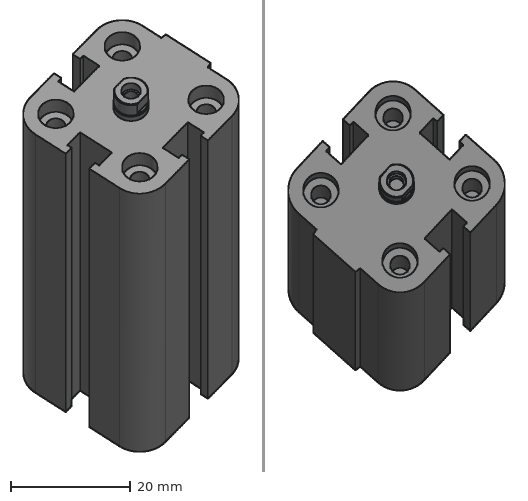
import cadquery as cq
import math

TOTAL_HEIGHT = 77.5
ROD_HEIGHT = 4.5
HOUSING_HEIGHT = TOTAL_HEIGHT - ROD_HEIGHT

HOUSING_WIDTH = 29.0
HALF_WIDTH = HOUSING_WIDTH / 2
CORNER_RADIUS = 5.5

RIB_HEIGHT = 1.0
RIB_BASE_WIDTH = 9.9
RIB_CREST_WIDTH = 9.6

SLOT_FLOOR_SPAN = 19.0
SLOT_LIP_SPAN = 25.8
SLOT_MOUTH_WIDTH = 5.0
SLOT_INNER_WIDTH = 6.8
SLOT_DIRECTIONS = (180, 270, 0)

HOLE_OFFSET = HALF_WIDTH - CORNER_RADIUS
HOLE_DIAMETER = 3.25
HOLE_DEPTH = 12.5
COUNTERBORE_DIAMETER = 6.0
COUNTERBORE_DEPTH = 3.5

COLLAR_DIAMETER = 6.0
COLLAR_HEIGHT = 1.25
COLLAR_BEVEL_HEIGHT = 0.2
NECK_DIAMETER = 5.8
NECK_CHAMFER = 0.15
FLATS_WIDTH = 5.0
FLATS_HEIGHT = 2.6
FLATS_RUNOUT_ANGLE = 30
BORE_DIAMETER = 2.5
BORE_DEPTH = 3.9
BORE_MOUTH_DIAMETER = 3.25
BORE_MOUTH_DEPTH = 1.8


def make_rib():
    """Full-height tapered rib standing on the +Y face of the housing."""
    return (
        cq.Workplane("XY")
        .polyline([
            (-RIB_BASE_WIDTH / 2, HALF_WIDTH),
            (-RIB_CREST_WIDTH / 2, HALF_WIDTH + RIB_HEIGHT),
            (RIB_CREST_WIDTH / 2, HALF_WIDTH + RIB_HEIGHT),
            (RIB_BASE_WIDTH / 2, HALF_WIDTH),
        ])
        .close()
        .extrude(HOUSING_HEIGHT)
    )


def make_slot_cutter(direction):
    """T-slot running the full height, opening towards the given direction."""
    floor = SLOT_FLOOR_SPAN / 2
    slot_depth = HALF_WIDTH - floor
    inner_depth = SLOT_LIP_SPAN / 2 - floor
    centred_in_y_only = (False, True, False)
    mouth = cq.Workplane("XY").box(slot_depth, SLOT_MOUTH_WIDTH, HOUSING_HEIGHT, centered=centred_in_y_only)
    inner = cq.Workplane("XY").box(inner_depth, SLOT_INNER_WIDTH, HOUSING_HEIGHT, centered=centred_in_y_only)
    return mouth.union(inner).translate((floor, 0, 0)).rotate((0, 0, 0), (0, 0, 1), direction)


def make_housing():
    """Slotted profile with a counterbored blind hole in each top corner."""
    housing = (
        cq.Workplane("XY")
        .rect(HOUSING_WIDTH, HOUSING_WIDTH)
        .extrude(HOUSING_HEIGHT)
        .edges("|Z")
        .fillet(CORNER_RADIUS)
        .union(make_rib())
    )
    for direction in SLOT_DIRECTIONS:
        housing = housing.cut(make_slot_cutter(direction))
    return (
        housing.faces(">Z")
        .workplane(origin=(0, 0, HOUSING_HEIGHT))
        .rect(2 * HOLE_OFFSET, 2 * HOLE_OFFSET, forConstruction=True)
        .vertices()
        .cboreHole(HOLE_DIAMETER, COUNTERBORE_DIAMETER, COUNTERBORE_DEPTH, HOLE_DEPTH)
    )


def make_flat_cutter(side):
    """Cutter for the wrench flat on the +X (side = 1) or -X (side = -1) side of the neck."""
    flat_x = FLATS_WIDTH / 2
    outer_x = NECK_DIAMETER
    flat_bottom = TOTAL_HEIGHT - FLATS_HEIGHT
    runout_drop = (outer_x - flat_x) * math.tan(math.radians(FLATS_RUNOUT_ANGLE))
    return (
        cq.Workplane("XZ")
        .polyline([
            (side * flat_x, TOTAL_HEIGHT),
            (side * flat_x, flat_bottom),
            (side * outer_x, flat_bottom - runout_drop),
            (side * outer_x, TOTAL_HEIGHT),
        ])
        .close()
        .extrude(NECK_DIAMETER, both=True)
    )


def make_rod():
    """Rod end standing on the housing, with a stepped blind bore in its tip."""
    base = cq.Workplane("XY", origin=(0, 0, HOUSING_HEIGHT))
    collar = base.circle(COLLAR_DIAMETER / 2).extrude(COLLAR_HEIGHT)
    neck = (
        base.circle(NECK_DIAMETER / 2)
        .extrude(ROD_HEIGHT)
        .faces(">Z")
        .chamfer(NECK_CHAMFER)
    )
    for side in (-1, 1):
        neck = neck.cut(make_flat_cutter(side))
    tip = cq.Workplane("XY", origin=(0, 0, TOTAL_HEIGHT))
    bore = tip.circle(BORE_DIAMETER / 2).extrude(-BORE_DEPTH)
    mouth = tip.circle(BORE_MOUTH_DIAMETER / 2).extrude(-BORE_MOUTH_DEPTH)
    bevel = (
        collar.faces(">Z")
        .workplane()
        .circle(COLLAR_DIAMETER / 2)
        .workplane(offset=COLLAR_BEVEL_HEIGHT)
        .circle(NECK_DIAMETER / 2)
        .loft(combine=False)
    )
    return collar.union(bevel).union(neck).cut(bore).cut(mouth)


housing = make_housing()
rod = make_rod()

result = cq.Compound.makeCompound([housing.val(), rod.val()])